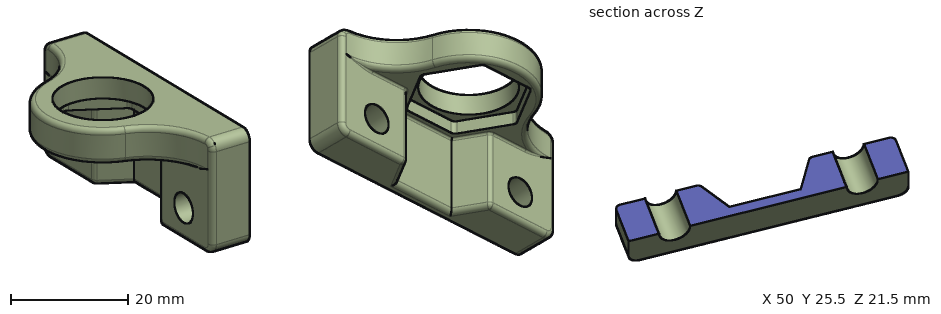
import cadquery as cq
import math

width = 50.0
height = 21.5
base_depth = 8.0
corner_radius = 2.0
edge_radius = 1.0
root_radius = 0.4

plate_thickness = 6.5
bore_diameter = 17.2
bore_y = -13.0
lobe_radius = 12.5
neck_radius = 12.5

screw_diameter = 5.5
screw_x = 16.75
screw_z = 6.0

pocket_across_flats = 22.0
recess_across_flats = 19.3
recess_depth = 2.5
recess_corner_radius = 1.0

margin = 0.05

half_width = width / 2
front_y = -base_depth
plate_bottom = height - plate_thickness
lobe_tip_y = bore_y - lobe_radius
pocket_back_y = bore_y + pocket_across_flats / 2

neck_y = front_y - neck_radius
center_distance = lobe_radius + neck_radius
neck_x = math.sqrt(center_distance**2 - (bore_y - neck_y) ** 2)
touch_angle = math.atan2(bore_y - neck_y, -neck_x)
touch_x = neck_x + neck_radius * math.cos(touch_angle)
touch_y = neck_y + neck_radius * math.sin(touch_angle)
neck_middle_angle = (math.pi / 2 + touch_angle) / 2
neck_middle_x = neck_x + neck_radius * math.cos(neck_middle_angle)
neck_middle_y = neck_y + neck_radius * math.sin(neck_middle_angle)


def hexagon(across_flats, bottom, tall):
    """Hexagonal prism on the bore axis with one flat parallel to the back face."""
    across_corners = across_flats / math.cos(math.pi / 6)
    return cq.Workplane("XY", origin=(0, bore_y, bottom)).polygon(6, across_corners).extrude(tall)


def edges_within(body, x_reach, y_range, z_range):
    """Edges of the body lying wholly inside a box that is symmetric about x = 0."""

    def is_inside(edge):
        box = edge.BoundingBox()
        return (
            max(-box.xmin, box.xmax) < x_reach + margin
            and y_range[0] - margin < box.ymin
            and box.ymax < y_range[1] + margin
            and z_range[0] - margin < box.zmin
            and box.zmax < z_range[1] + margin
        )

    return body.newObject([edge for edge in body.edges().vals() if is_inside(edge)])


def make_base():
    """Upright block split by the hexagonal pocket, its front and pocket rims rounded."""
    base = cq.Workplane("XY").box(width, base_depth, height, centered=(True, False, False))
    base = base.translate((0, front_y, 0)).edges("|Y").fillet(corner_radius)
    base = base.cut(hexagon(pocket_across_flats, 0, height))
    front_rim = edges_within(base, half_width, (front_y, front_y), (0, height))
    pocket_rim = edges_within(base, pocket_across_flats / 2, (front_y, pocket_back_y), (0, 0))
    return front_rim.add(pocket_rim).fillet(edge_radius)


def make_plate():
    """Top plate: a round lobe blended by two concave arcs into a bar as long as the base."""
    plate = (
        cq.Workplane("XY", origin=(0, 0, plate_bottom))
        .moveTo(-half_width, 0)
        .lineTo(-half_width, front_y)
        .lineTo(-neck_x, front_y)
        .threePointArc((-neck_middle_x, neck_middle_y), (-touch_x, touch_y))
        .threePointArc((0, lobe_tip_y), (touch_x, touch_y))
        .threePointArc((neck_middle_x, neck_middle_y), (neck_x, front_y))
        .lineTo(half_width, front_y)
        .lineTo(half_width, 0)
        .close()
        .extrude(plate_thickness)
    )
    plate = plate.edges("|Y and >Z").fillet(corner_radius)

    outline_y = (lobe_tip_y, front_y)
    top_rim = edges_within(plate, half_width, outline_y, (height - corner_radius, height))
    end_rims = edges_within(plate, half_width, outline_y, (plate_bottom, height)).edges("|Z")
    end_rims = end_rims.edges("<X or >X")
    plate = top_rim.add(end_rims).fillet(edge_radius)

    bottom_rim = edges_within(plate, neck_x, outline_y, (plate_bottom, plate_bottom))
    return bottom_rim.fillet(edge_radius)


def join(base, plate):
    """Fuse base and plate and round the inside corner under the plate."""
    body = base.union(plate)
    root = edges_within(body, neck_x, (front_y, pocket_back_y), (plate_bottom, plate_bottom + edge_radius))
    return root.fillet(root_radius)


def make_bore():
    """Round hole through the full height, including the plate."""
    return cq.Workplane("XY", origin=(0, bore_y, 0)).circle(bore_diameter / 2).extrude(height)


def make_recess():
    """Hexagonal seat with rounded corners, open to the plate underside."""
    recess = hexagon(recess_across_flats, plate_bottom, recess_depth)
    return recess.edges("|Z").fillet(recess_corner_radius)


def make_screw_holes():
    """Two holes through the base, front to back."""
    centers = [(-screw_x, screw_z), (screw_x, screw_z)]
    return cq.Workplane("XZ").pushPoints(centers).circle(screw_diameter / 2).extrude(base_depth)


result = join(make_base(), make_plate())
for cutter in (make_bore(), make_recess(), make_screw_holes()):
    result = result.cut(cutter)